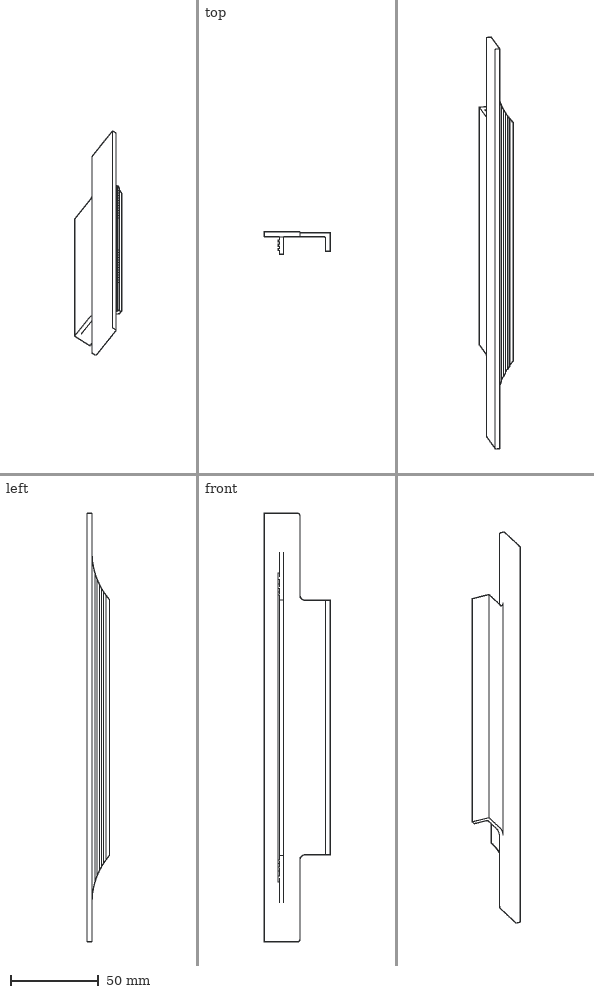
import cadquery as cq

length = 245.0
plate_width = 20.5
plate_thickness = 3.0
plate_corner_radius = 1.5
edge_round = 0.5

total_width = 38.0
grip_length = 145.5
grip_setback = 0.5
lip_thickness = 3.0
lip_reach = 11.3
inner_corner_radius = 3.0
bend_radius = 0.7

total_depth = 13.0
fin_left = 8.8
fin_thickness = 2.5
fin_root_half = 100.0
fin_tip_half = 73.0
rib_height = 0.7
rib_width = 1.2
rib_pitch = 2.5
rib_count = 3
first_rib_depth = 4.7


def block(x_start, x_end, depth_start, depth_end, height):
    """Box centred on Z, with depths measured forward from the back face."""
    return (
        cq.Workplane("XY")
        .box(x_end - x_start, depth_end - depth_start, height, centered=(False, False, True))
        .translate((x_start, -depth_end, 0))
    )


def make_plate():
    plate = block(0, plate_width, 0, plate_thickness, length)
    plate = plate.edges("|Y and >X").fillet(plate_corner_radius)
    return plate.faces(">Y").edges("not <X").fillet(edge_round)


def make_grip():
    web = block(plate_width / 2, total_width, grip_setback, plate_thickness, grip_length)
    lip = block(total_width - lip_thickness, total_width, grip_setback, lip_reach, grip_length)
    return web.union(lip)


def make_inner_corner(side):
    """Concave fillet between the plate edge and one end of the grip."""
    grip_end = grip_length / 2
    radius = inner_corner_radius
    thickness = plate_thickness - grip_setback
    corner = (
        cq.Workplane("XZ", origin=(0, -grip_setback, 0))
        .moveTo(plate_width, side * grip_end)
        .lineTo(plate_width + radius, side * grip_end)
        .radiusArc((plate_width, side * (grip_end + radius)), side * radius)
        .close()
        .extrude(thickness)
    )
    return corner


def make_fin():
    ribbed = block(fin_left, fin_left + fin_thickness, 0, total_depth, 2 * fin_root_half)
    for index in range(rib_count):
        depth = first_rib_depth + index * rib_pitch
        rib = block(fin_left - rib_height, fin_left, depth, depth + rib_width, 2 * fin_root_half)
        ribbed = ribbed.union(rib)

    rise = total_depth - plate_thickness
    run = fin_root_half - fin_tip_half
    end_radius = (run**2 + rise**2) / (2 * rise)
    outline = (
        cq.Workplane("YZ", origin=(fin_left - rib_height, 0, 0))
        .moveTo(0, -fin_root_half)
        .lineTo(-plate_thickness, -fin_root_half)
        .radiusArc((-total_depth, -fin_tip_half), -end_radius)
        .lineTo(-total_depth, fin_tip_half)
        .radiusArc((-plate_thickness, fin_root_half), -end_radius)
        .lineTo(0, fin_root_half)
        .close()
        .extrude(rib_height + fin_thickness)
    )
    return ribbed.intersect(outline)


def make_body():
    """Plate and grip as one piece, with the bend and the outline edges rounded."""
    body = make_plate().union(make_grip())
    for side in (1, -1):
        body = body.union(make_inner_corner(side))
    body = body.clean()

    bend = cq.NearestToPointSelector((total_width - lip_thickness, -plate_thickness, 0))
    body = body.edges("|Z").edges(bend).fillet(bend_radius)

    front_face = cq.NearestToPointSelector((plate_width / 2, -total_depth, 0))
    return body.faces(front_face).edges("not >X").fillet(edge_round)


result = make_body().union(make_fin())